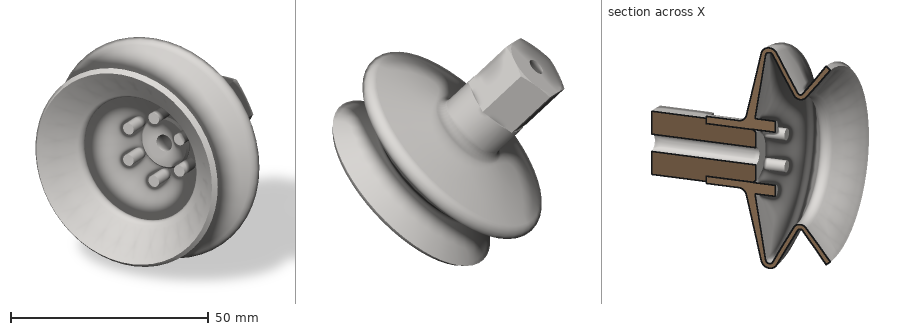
import cadquery as cq
import math


RIM_RADIUS = 29.5
RIM_ROUND = 2.35
RIM_Y = 16.75

WAIST_RADIUS = 18.0
WAIST_ROUND = 0.75

SHOULDER_ANGLE = 13.4
BELLOWS_ANGLE = 30.0
SKIRT_ANGLE = 38.0
CEILING_ANGLE = 9.5

WALL = 1.35
LIP_RADIUS = 26.6
LIP_MOUTH_RADIUS = 25.6

NECK_RADIUS = 9.0
NECK_TOP_Y = 34.05
NECK_FILLET = 2.05

CLEAT_COUNT = 6
CLEAT_RADIUS = 1.55
CLEAT_CIRCLE_RADIUS = 8.55
CLEAT_TIP_Y = 15.05
CLEAT_ROOT_Y = 21.5

HEX_ACROSS_FLATS = 17.0
HEX_LENGTH = 15.0
HEX_CHAMFER_ANGLE = 15.0
STEM_RADIUS = 6.95
STEM_END_Y = 20.4
STEM_CHAMFER = 0.55
BORE_RADIUS = 2.25

HEX_TOP_Y = NECK_TOP_Y + HEX_LENGTH


def sin(degrees):
    return math.sin(math.radians(degrees))


def cos(degrees):
    return math.cos(math.radians(degrees))


def tan(degrees):
    return math.tan(math.radians(degrees))


def on_circle(center, radius, degrees):
    """Point of a circle in the (radius, y) half plane."""
    return (center[0] + radius * cos(degrees), center[1] + radius * sin(degrees))


def along_y(radius, start_y, end_y):
    """Cylinder on the Y axis between two heights."""
    return cq.Workplane("XZ", origin=(0, end_y, 0)).circle(radius).extrude(end_y - start_y)


rim_center = (RIM_RADIUS - RIM_ROUND, RIM_Y)
waist_center_radius = WAIST_RADIUS + WAIST_ROUND
waist_drop = ((rim_center[0] - waist_center_radius) * sin(BELLOWS_ANGLE)
              + RIM_ROUND + WAIST_ROUND) / cos(BELLOWS_ANGLE)
waist_center = (waist_center_radius, RIM_Y - waist_drop)

SHOULDER_NORMAL = 90 - SHOULDER_ANGLE
CEILING_NORMAL = 90 - CEILING_ANGLE
RIM_LOWER_NORMAL = BELLOWS_ANGLE - 90
WAIST_UPPER_NORMAL = BELLOWS_ANGLE + 90
WAIST_LOWER_NORMAL = 270 - SKIRT_ANGLE


def cup_section():
    """Half section of the cup: outside from the neck to the lip, then back along the inside."""
    inner_rim_round = RIM_ROUND - WALL
    inner_waist_round = WAIST_ROUND + WALL

    shoulder_end = on_circle(rim_center, RIM_ROUND, SHOULDER_NORMAL)
    fillet_center_radius = NECK_RADIUS + NECK_FILLET
    fillet_center_y = (shoulder_end[1] + (shoulder_end[0] - fillet_center_radius) * tan(SHOULDER_ANGLE)
                       + NECK_FILLET / cos(SHOULDER_ANGLE))
    fillet_center = (fillet_center_radius, fillet_center_y)
    fillet_end_angle = 270 - SHOULDER_ANGLE

    skirt_start = on_circle(waist_center, WAIST_ROUND, WAIST_LOWER_NORMAL)
    lip_y = skirt_start[1] - (LIP_RADIUS - skirt_start[0]) * tan(SKIRT_ANGLE)

    ceiling_start = on_circle(rim_center, inner_rim_round, CEILING_NORMAL)
    ceiling_end_y = ceiling_start[1] + (ceiling_start[0] - STEM_RADIUS) * tan(CEILING_ANGLE)

    return (
        cq.Workplane("XY")
        .moveTo(STEM_RADIUS, NECK_TOP_Y)
        .lineTo(NECK_RADIUS, NECK_TOP_Y)
        .lineTo(NECK_RADIUS, fillet_center_y)
        .threePointArc(on_circle(fillet_center, NECK_FILLET, (180 + fillet_end_angle) / 2),
                       on_circle(fillet_center, NECK_FILLET, fillet_end_angle))
        .lineTo(*shoulder_end)
        .threePointArc((RIM_RADIUS, RIM_Y), on_circle(rim_center, RIM_ROUND, RIM_LOWER_NORMAL))
        .lineTo(*on_circle(waist_center, WAIST_ROUND, WAIST_UPPER_NORMAL))
        .threePointArc(on_circle(waist_center, WAIST_ROUND, 180), skirt_start)
        .lineTo(LIP_RADIUS, lip_y)
        .lineTo(LIP_MOUTH_RADIUS, 0)
        .lineTo(*on_circle(waist_center, inner_waist_round, WAIST_LOWER_NORMAL))
        .threePointArc(on_circle(waist_center, inner_waist_round, 180),
                       on_circle(waist_center, inner_waist_round, WAIST_UPPER_NORMAL))
        .lineTo(*on_circle(rim_center, inner_rim_round, RIM_LOWER_NORMAL))
        .threePointArc(on_circle(rim_center, inner_rim_round, 0), ceiling_start)
        .lineTo(STEM_RADIUS, ceiling_end_y)
        .close()
    )


def make_cup():
    cup = cup_section().revolve(360, (0, 0, 0), (0, 1, 0))
    cleat = along_y(CLEAT_RADIUS, CLEAT_TIP_Y, CLEAT_ROOT_Y)
    for i in range(CLEAT_COUNT):
        angle = 90 + i * 360 / CLEAT_COUNT
        cleat_place = (CLEAT_CIRCLE_RADIUS * cos(angle), 0, CLEAT_CIRCLE_RADIUS * sin(angle))
        cup = cup.union(cleat.translate(cleat_place))
    return cup


def make_fitting():
    corner_radius = HEX_ACROSS_FLATS / 2 / cos(30)
    hexagon = (
        cq.Workplane("XZ", origin=(0, HEX_TOP_Y, 0))
        .polygon(6, 2 * corner_radius)
        .extrude(HEX_LENGTH)
    )
    flat_radius = HEX_ACROSS_FLATS / 2
    corner_drop = (corner_radius - flat_radius) * tan(HEX_CHAMFER_ANGLE)
    trimmer = (
        cq.Workplane("XY")
        .polyline([(0, NECK_TOP_Y), (corner_radius, NECK_TOP_Y), (corner_radius, HEX_TOP_Y - corner_drop),
                   (flat_radius, HEX_TOP_Y), (0, HEX_TOP_Y)])
        .close()
        .revolve(360, (0, 0, 0), (0, 1, 0))
    )
    stem = along_y(STEM_RADIUS, STEM_END_Y, NECK_TOP_Y).faces("<Y").chamfer(STEM_CHAMFER)
    bore = along_y(BORE_RADIUS, STEM_END_Y, HEX_TOP_Y)
    return hexagon.intersect(trimmer).union(stem).cut(bore)


cup = make_cup()
fitting = make_fitting()
result = cq.Compound.makeCompound([cup.solids().val(), fitting.solids().val()])